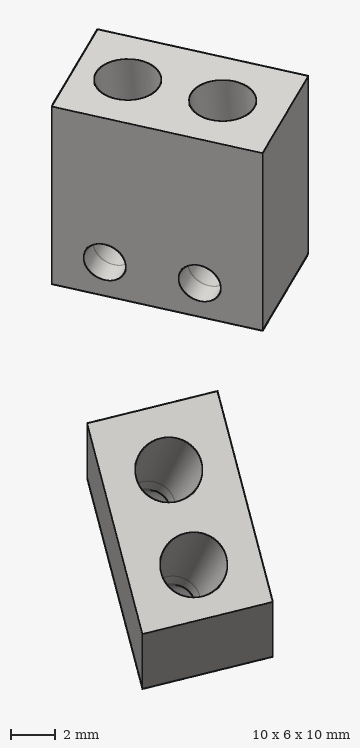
import cadquery as cq

length = 10.0
depth = 6.0
height = 10.0

passage_positions = (2.52, 7.02)
inlet_diameter = 3.0
inlet_y = depth / 2
waist_diameter = 2.5
waist_y = 3.98
waist_z = 4.0
elbow_diameter = 2.3
elbow_bend_radius = 1.2
elbow_y = 4.08
outlet_diameter = 2.0
outlet_z = 1.9
outlet_length = 1.2

elbow_start_z = outlet_z + elbow_bend_radius
elbow_end_y = elbow_y - elbow_bend_radius


def level_circle(x, y, z, diameter):
    """Horizontal circular wire."""
    return cq.Wire.makeCircle(diameter / 2, cq.Vector(x, y, z), cq.Vector(0, 0, 1))


def upright_circle(x, y, diameter):
    """Circular wire on the outlet axis, facing along Y."""
    return cq.Wire.makeCircle(diameter / 2, cq.Vector(x, y, outlet_z), cq.Vector(0, 1, 0))


def make_inlet(x):
    """Tapering throat that leans backward as it descends to the elbow."""
    inlet = level_circle(x, inlet_y, height, inlet_diameter)
    waist = level_circle(x, waist_y, waist_z, waist_diameter)
    elbow_start = level_circle(x, elbow_y, elbow_start_z, elbow_diameter)
    upper = cq.Solid.makeLoft([inlet, waist], True)
    lower = cq.Solid.makeLoft([waist, elbow_start], True)
    return cq.Workplane(upper).union(cq.Workplane(lower))


def make_elbow(x):
    """Quarter-turn round bend."""
    return (
        cq.Workplane("XY", origin=(x, elbow_y, elbow_start_z))
        .circle(elbow_diameter / 2)
        .revolve(90, (0, -elbow_bend_radius), (-1, -elbow_bend_radius))
    )


def make_outlet(x):
    """Cone narrowing from the elbow to a straight hole in the front face."""
    elbow_end = upright_circle(x, elbow_end_y, elbow_diameter)
    hole_inner = upright_circle(x, outlet_length, outlet_diameter)
    hole_outer = upright_circle(x, 0, outlet_diameter)
    cone = cq.Solid.makeLoft([elbow_end, hole_inner], True)
    hole = cq.Solid.makeLoft([hole_inner, hole_outer], True)
    return cq.Workplane(cone).union(cq.Workplane(hole))


result = cq.Workplane("XY").box(length, depth, height, centered=False)
for passage_x in passage_positions:
    passage = make_inlet(passage_x).union(make_elbow(passage_x)).union(make_outlet(passage_x))
    result = result.cut(passage)